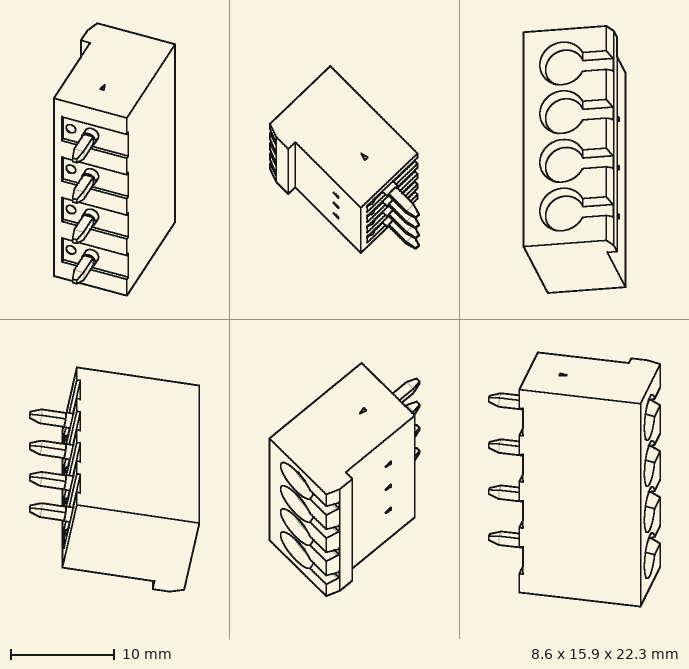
import cadquery as cq

HEIGHT = 22.32
LENGTH = 12.0
LIP_REACH = 0.95
LIP_LENGTH = 3.0
WIDTH = 8.6
CHAMFER_X = 0.47
CHAMFER_Y = 1.36

POLES = 4
PITCH = 5.07
POLE_X = (LIP_REACH + WIDTH) / 2
POLE_Z = [HEIGHT / 2 + (i - (POLES - 1) / 2) * PITCH for i in range(POLES)]

POCKET_LEFT = 1.8
POCKET_HEIGHT = 3.0
POCKET_DEPTH = 0.35
DOME_X = 2.61
DOME_RADIUS = 0.5
DOME_HEIGHT = 0.33

COLLAR_RADIUS = 0.71
COLLAR_REACH = 0.47
PIN_SIZE = 0.98
PIN_REACH = 3.88
TIP_LENGTH = 1.05
TIP_SIZE = 0.45

BORE_RADIUS = 1.9
SOCKET_DEPTH = 1.3
MOUTH_DEPTH = 1.1
MOUTH_FLARE = 0.31
NOTCH_WIDTH = 1.32

MARK_BASE_Y = 3.08
MARK_LENGTH = 0.71
MARK_WIDTH = 0.38
MARK_DEPTH = 0.1
TOP_MARK_X = 4.7


def front_plane(x, y, z):
    """Sketch plane whose normal is -Y and whose local axes are X and Z."""
    return cq.Workplane("XZ", origin=(x, y, z))


def make_housing():
    outline = [
        (LIP_REACH, 0),
        (WIDTH, 0),
        (WIDTH, LENGTH),
        (CHAMFER_X, LENGTH),
        (0, LENGTH - CHAMFER_Y),
        (0, LENGTH - LIP_LENGTH),
        (LIP_REACH, LENGTH - LIP_LENGTH),
    ]
    return cq.Workplane("XY").polyline(outline).close().extrude(HEIGHT)


def make_pocket(z):
    """Shallow front recess that runs out through the +X side."""
    length = WIDTH - POCKET_LEFT
    pocket = cq.Workplane("XY").box(length, POCKET_DEPTH, POCKET_HEIGHT, centered=(False, False, True))
    return pocket.translate((POCKET_LEFT, 0, z))


def make_dome(z):
    """Spherical cap standing on the pocket floor."""
    ball_radius = (DOME_RADIUS**2 + DOME_HEIGHT**2) / (2 * DOME_HEIGHT)
    ball_y = POCKET_DEPTH - DOME_HEIGHT + ball_radius
    return cq.Workplane("XY").sphere(ball_radius).translate((DOME_X, ball_y, z))


def make_pin(z):
    """Collar, shank and tip, all rooted on the pocket floor."""
    shoulder = PIN_REACH - TIP_LENGTH
    collar = front_plane(POLE_X, POCKET_DEPTH, z).circle(COLLAR_RADIUS).extrude(POCKET_DEPTH + COLLAR_REACH)
    shank = front_plane(POLE_X, POCKET_DEPTH, z).rect(PIN_SIZE, PIN_SIZE).extrude(POCKET_DEPTH + shoulder)
    tip = (
        front_plane(POLE_X, -shoulder, z)
        .rect(PIN_SIZE, PIN_SIZE)
        .workplane(offset=TIP_LENGTH)
        .rect(TIP_SIZE, TIP_SIZE)
        .loft()
    )
    return collar.union(shank).union(tip)


def make_socket(z):
    """Bore with conical mouth plus the side notch, both flaring toward the back face."""
    floor_y = LENGTH - SOCKET_DEPTH
    mouth_y = LENGTH - MOUTH_DEPTH
    mouth_radius = BORE_RADIUS + MOUTH_FLARE
    bore_profile = [
        (0, floor_y),
        (BORE_RADIUS, floor_y),
        (BORE_RADIUS, mouth_y),
        (mouth_radius, LENGTH),
        (0, LENGTH),
    ]
    bore = cq.Workplane("XY").polyline(bore_profile).close().revolve(360, (0, 0), (0, 1))

    notch_half = NOTCH_WIDTH / 2
    mouth_half = notch_half + MOUTH_FLARE
    notch_profile = [
        (floor_y, -notch_half),
        (mouth_y, -notch_half),
        (LENGTH, -mouth_half),
        (LENGTH, mouth_half),
        (mouth_y, notch_half),
        (floor_y, notch_half),
    ]
    notch = cq.Workplane("YZ").polyline(notch_profile).close().extrude(POLE_X)
    return bore.translate((POLE_X, 0, z)).union(notch.translate((0, 0, z)))


def make_mark(plane):
    """Triangular cutter pointing toward +Y, sketched on the XY or YZ plane."""
    points = [
        (-MARK_WIDTH / 2, MARK_BASE_Y),
        (MARK_WIDTH / 2, MARK_BASE_Y),
        (0, MARK_BASE_Y + MARK_LENGTH),
    ]
    if plane == "YZ":
        points = [(along, across) for across, along in points]
    return cq.Workplane(plane).polyline(points).close().extrude(MARK_DEPTH)


result = make_housing()
for z in POLE_Z:
    result = result.cut(make_pocket(z)).cut(make_socket(z))
    result = result.union(make_dome(z)).union(make_pin(z))

for z in POLE_Z[:-1]:
    result = result.cut(make_mark("YZ").translate((LIP_REACH, 0, z + PITCH / 2)))
result = result.cut(make_mark("XY").translate((TOP_MARK_X, 0, HEIGHT - MARK_DEPTH)))